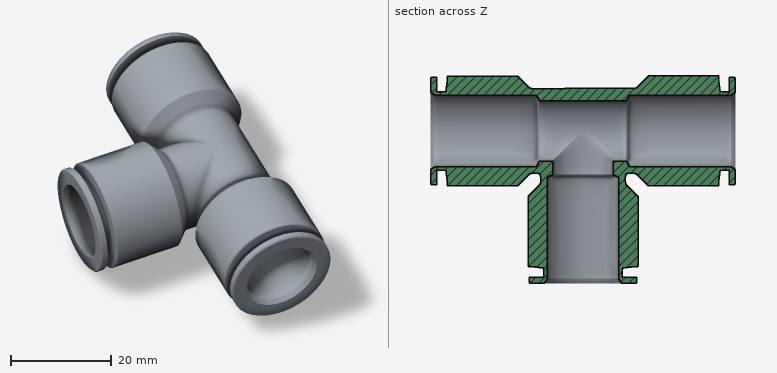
import cadquery as cq

port_reach = 30.4

neck_radius = 8.5
bore_radius = 12.0 / 2
crotch_fillet = 0.5

barrel_radius = 11.0
shoulder_start = 10.5
shoulder_end = shoulder_start + barrel_radius - neck_radius
shoulder_fillet = 0.6
barrel_end = 27.1
barrel_edge_chamfer = 0.2
end_dome_radius = 9.7
end_dome_height = 0.25

flange_radius = 10.75
flange_thickness = 1.3
flange_edge_chamfer = 0.25
collar_radius = 7.9

socket_radius = 14.15 / 2
mouth_radius = 7.65
mouth_depth = 1.0
bore_end = 8.7
cone_depth = 0.6

pick_margin = 0.05


def revolve_about_x(points):
    """Solid of revolution about X from (distance along X, radius) points."""
    return cq.Workplane("XY").polyline(points).close().revolve(360, (0, 0, 0), (1, 0, 0))


def port_sleeve():
    """Outer shape of one port on the +X axis."""
    flange_start = port_reach - flange_thickness
    dome_end = barrel_end + end_dome_height
    sleeve = revolve_about_x([
        (0, 0),
        (0, neck_radius),
        (shoulder_start, neck_radius),
        (shoulder_end, barrel_radius),
        (barrel_end - barrel_edge_chamfer, barrel_radius),
        (barrel_end, barrel_radius - barrel_edge_chamfer),
        (barrel_end, end_dome_radius),
        (dome_end, collar_radius),
        (flange_start, collar_radius),
        (flange_start, flange_radius),
        (port_reach - flange_edge_chamfer, flange_radius),
        (port_reach, flange_radius - flange_edge_chamfer),
        (port_reach, 0),
    ])
    shoulder_corner = cq.selectors.BoxSelector(
        (shoulder_start - pick_margin, -barrel_radius, -barrel_radius),
        (shoulder_start + pick_margin, barrel_radius, barrel_radius),
        boundingbox=True,
    )
    return sleeve.edges(shoulder_corner).fillet(shoulder_fillet)


def port_socket():
    """Stepped bore of one port on the +X axis, starting at the centre."""
    return revolve_about_x([
        (0, 0),
        (0, bore_radius),
        (bore_end, bore_radius),
        (bore_end + cone_depth, socket_radius),
        (port_reach - mouth_depth, socket_radius),
        (port_reach, mouth_radius),
        (port_reach, 0),
    ])


def at_three_ports(shape):
    """Copies of a +X shape joined at the +X, -X and -Y ports."""
    joined = shape
    for angle in (180, -90):
        joined = joined.union(shape.rotate((0, 0, 0), (0, 0, 1), angle))
    return joined


def round_crotch(outer_body):
    """Fillet the mitre curves where the branch neck meets the straight neck."""
    mitre_curves = [edge for edge in outer_body.edges().vals() if edge.geomType() == "ELLIPSE"]
    return outer_body.newObject(mitre_curves).fillet(crotch_fillet)


body = round_crotch(at_three_ports(port_sleeve()))
result = body.cut(at_three_ports(port_socket())).solids()